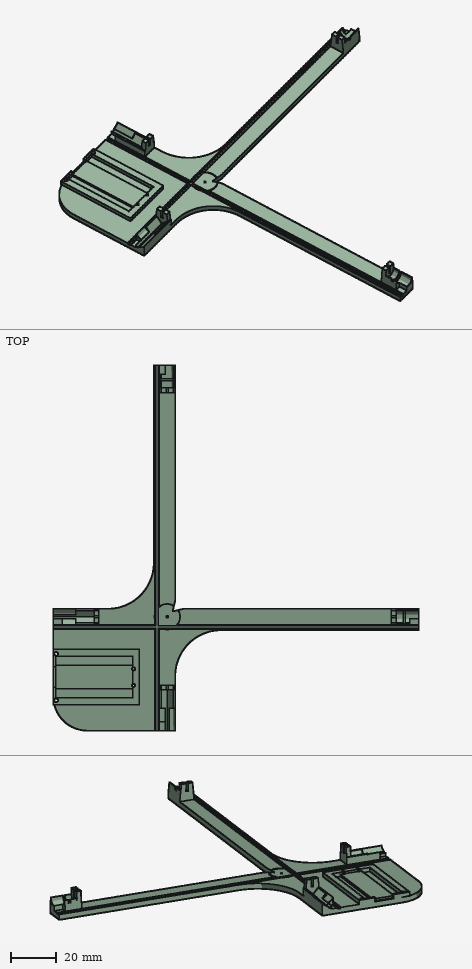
import cadquery as cq
import math

span = 160.0
base_thickness = 2.5
total_height = 10.5
arm_width = 9.5
arm_outer = 53.5
arm_inner = arm_outer - arm_width
plate_corner_radius = 15.0
web_radius = 20.0

notch_depth = 1.1
notch_reach = 3.5

mount_width = 7.0
mount_side = arm_outer - mount_width
axis_offset = arm_outer - mount_width / 2
plate_thickness = 2.0
plate_top_width = 5.5
slot_width = 1.0
slot_floor = 6.9
recess_length = 4.0
recess_width = 2.5

short_length = 20.0
short_height = 6.0
vee_width = 5.5
vee_depth = 3.0
short_cradle_radius = 4.0
short_cradle_length = 10.0

long_length = 12.0
long_height = 7.5
long_cradle_radius = 2.7
ring_radius = 3.2
ring_width = 1.0
ring_start = 6.0

groove_depth = 0.5
groove_top_width = 2.0
groove_floor_width = 1.0

hub_radius = 5.6
hub_depth = 0.3
hub_hole_diameter = 0.6

tray_length = 37.8
tray_width = 24.3
tray_y = 11.4
tray_top = 4.5
pocket_x = 1.1
pocket_length = 33.6
pocket_width = 18.2
platform_width = 10.2
platform_top = 3.5
tray_notch_width = 9.0
corner_hole_diameter = 1.6
corner_hole_x = 1.3
corner_hole_spacing = 20.3
end_hole_diameter = 1.3
end_hole_x = 35.2
end_hole_spacing = 7.2


def box(x, y, z, length, width, height):
    """Box given by its minimum corner and its sizes."""
    return cq.Workplane("XY").box(length, width, height, centered=False).translate((x, y, z))


def along_x(points, length):
    """Extrude a closed (Y, Z) outline along +X from X = 0."""
    return cq.Workplane("YZ").polyline(points).close().extrude(length)


def rod(radius, axis_height, start, length):
    """Cylinder on the mount axis, running along +X."""
    plane = cq.Workplane("YZ", origin=(start, axis_offset, axis_height))
    return plane.circle(radius).extrude(length)


def swapped(shape):
    """Mirror image across the X = Y diagonal."""
    return shape.mirror((1, -1, 0))


def base_plate():
    web_end = arm_outer + web_radius
    web_start = arm_inner - web_radius
    web_near = web_end - web_radius * math.sqrt(0.5)
    web_far = web_start + web_radius * math.sqrt(0.5)
    corner_mid = plate_corner_radius * (1 - math.sqrt(0.5))
    notch = arm_outer - notch_depth
    notch_tip = arm_outer + notch_reach
    return (
        cq.Workplane("XY")
        .moveTo(plate_corner_radius, 0)
        .lineTo(arm_outer, 0)
        .lineTo(arm_outer, web_start)
        .threePointArc((web_near, web_far), (web_end, arm_inner))
        .lineTo(span, arm_inner)
        .lineTo(span, arm_outer)
        .lineTo(notch_tip, arm_outer)
        .lineTo(notch, notch)
        .lineTo(arm_outer, notch_tip)
        .lineTo(arm_outer, span)
        .lineTo(arm_inner, span)
        .lineTo(arm_inner, web_end)
        .threePointArc((web_far, web_near), (web_start, arm_outer))
        .lineTo(0, arm_outer)
        .lineTo(0, plate_corner_radius)
        .threePointArc((corner_mid, corner_mid), (plate_corner_radius, 0))
        .close()
        .extrude(base_thickness)
    )


def line_groove():
    """Groove along X whose upper edge follows the side of the mounts."""
    top_start = mount_side - groove_top_width
    slope_run = (groove_top_width - groove_floor_width) / 2
    floor_z = base_thickness - groove_depth
    return along_x(
        [
            (top_start, base_thickness),
            (top_start + slope_run, floor_z),
            (mount_side - slope_run, floor_z),
            (mount_side, base_thickness),
        ],
        span,
    )


def hub_pocket():
    pocket = (
        cq.Workplane("XY", origin=(axis_offset, axis_offset, base_thickness - hub_depth))
        .circle(hub_radius)
        .extrude(hub_depth)
    )
    hole = (
        cq.Workplane("XY", origin=(axis_offset, axis_offset, 0))
        .circle(hub_hole_diameter / 2)
        .extrude(base_thickness)
    )
    return pocket.union(hole)


def tapered_body(length):
    """Full-height body, narrowing evenly from the base to the top."""
    half_base = mount_width / 2
    half_top = plate_top_width / 2
    return along_x(
        [
            (axis_offset - half_base, 0),
            (axis_offset + half_base, 0),
            (axis_offset + half_base, base_thickness),
            (axis_offset + half_top, total_height),
            (axis_offset - half_top, total_height),
            (axis_offset - half_base, base_thickness),
        ],
        length,
    )


def slotted_plate(mount_length):
    plate_x = mount_length - plate_thickness
    slot = box(
        plate_x, axis_offset - slot_width / 2, slot_floor,
        plate_thickness, slot_width, total_height - slot_floor,
    )
    return tapered_body(plate_thickness).translate((plate_x, 0, 0)).cut(slot)


def end_recess():
    return box(0, mount_side, base_thickness, recess_length, recess_width, total_height)


def short_mount():
    """Mount at the X = 0 end of an arm; its round cradle spans the full mount width."""
    cradle_axis = short_height + math.sqrt(short_cradle_radius**2 - (mount_width / 2) ** 2)
    block = box(0, mount_side, 0, short_length, mount_width, short_height)
    vee = along_x(
        [
            (axis_offset - vee_width / 2, short_height),
            (axis_offset, short_height - vee_depth),
            (axis_offset + vee_width / 2, short_height),
        ],
        short_length,
    )
    cradle = rod(short_cradle_radius, cradle_axis, 0, short_cradle_length)
    block = block.cut(vee).cut(cradle).cut(end_recess())
    return block.union(slotted_plate(short_length))


def long_mount():
    """Mount built with its free end at X = 0, then turned to the far end of the arm."""
    above = box(0, mount_side, long_height, long_length, mount_width, total_height)
    block = (
        tapered_body(long_length)
        .cut(above)
        .cut(rod(long_cradle_radius, long_height, 0, long_length))
        .cut(rod(ring_radius, long_height, ring_start, ring_width))
        .cut(end_recess())
    )
    mount = block.union(slotted_plate(long_length))
    return mount.mirror("YZ").translate((span, 0, 0))


def tray():
    """Raised frame with a pocket, a central platform and an open notch; it overhangs the round corner."""
    middle_y = tray_y + tray_width / 2
    wall_height = tray_top - base_thickness
    frame = box(0, tray_y, base_thickness, tray_length, tray_width, wall_height)
    pocket = box(
        pocket_x, middle_y - pocket_width / 2, base_thickness,
        pocket_length, pocket_width, wall_height,
    )
    notch = box(
        0, middle_y - tray_notch_width / 2, base_thickness,
        pocket_x, tray_notch_width, wall_height,
    )
    platform = box(
        pocket_x, middle_y - platform_width / 2, base_thickness,
        pocket_length, platform_width, platform_top - base_thickness,
    )
    return frame.cut(pocket).cut(notch).union(platform)


def tray_holes():
    middle_y = tray_y + tray_width / 2
    corner_holes = (
        cq.Workplane("XY", origin=(corner_hole_x, middle_y, 0))
        .rarray(1.6, corner_hole_spacing, 1, 2)
        .circle(corner_hole_diameter / 2)
        .extrude(tray_top)
    )
    end_holes = (
        cq.Workplane("XY", origin=(end_hole_x, middle_y, 0))
        .rarray(1.6, end_hole_spacing, 1, 2)
        .circle(end_hole_diameter / 2)
        .extrude(tray_top)
    )
    return corner_holes.union(end_holes)


body = base_plate()
groove = line_groove()
body = body.cut(groove).cut(swapped(groove)).cut(hub_pocket())

for mount in (short_mount(), long_mount()):
    body = body.union(mount).union(swapped(mount))

result = body.union(tray()).cut(tray_holes())